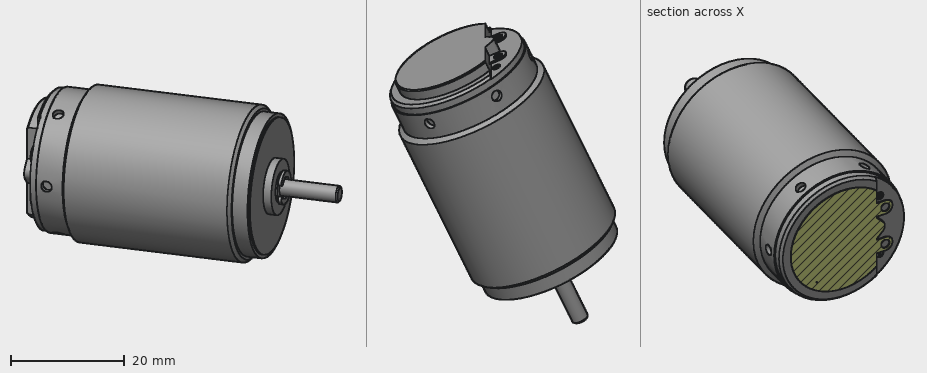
import cadquery as cq
import math

ring_face_x = 1.95
ring_chamfer_end_x = 2.45
ledge_x = 2.55
collar_start_x = 3.75
collar_end_x = 8.65
body_start_x = 9.25
body_chamfer_x = 39.5
body_end_x = 40.1
flange_end_x = 42.9
front_face_x = 43.2
boss_end_x = 44.7
neck_end_x = 45.0
clip_end_x = 45.7
shaft_end_x = 55.7

cap_radius = 10.65
ring_face_radius = 12.2
ring_radius = 12.7
collar_radius = 13.0
body_diameter = 28.0
body_radius = body_diameter / 2
body_end_radius = body_radius - (body_end_x - body_chamfer_x)
flange_radius = 12.85
front_face_radius = 12.2
boss_radius = 5.0
neck_radius = 2.75
shaft_radius = 1.5
cap_chamfer = 0.2
shaft_chamfer = 0.3

hole_count = 6
hole_x = 5.7
hole_diameter = 1.95
hole_depth = 1.0

step_y = -6.8
key_half_width = 2.3
key_tip_radius = 1.45

tab_start_x = 1.7
tab_thickness = 0.3
tab_z = 3.95
tab_width = 3.0
tab_hole_y = -8.5
tab_hole_diameter = 1.6

mark_y = -7.8
mark_z = 6.25
mark_diameter = 1.45
mark_bar_length = 1.1
mark_bar_width = 0.3
mark_depth = 0.15

clip_radius = 3.0
clip_width = 1.05
clip_opening = 2.1


def make_turned_body():
    """Revolve the stepped motor outline around the X axis."""
    outline = [
        (0, 0),
        (0, cap_radius - cap_chamfer),
        (cap_chamfer, cap_radius),
        (ring_face_x, cap_radius),
        (ring_face_x, ring_face_radius),
        (ring_chamfer_end_x, ring_radius),
        (collar_start_x, ring_radius),
        (collar_start_x, collar_radius),
        (collar_end_x, collar_radius),
        (body_start_x, body_radius),
        (body_chamfer_x, body_radius),
        (body_end_x, body_end_radius),
        (body_end_x, flange_radius),
        (flange_end_x, flange_radius),
        (flange_end_x, front_face_radius),
        (front_face_x, front_face_radius),
        (front_face_x, boss_radius),
        (boss_end_x, boss_radius),
        (boss_end_x, neck_radius),
        (neck_end_x, neck_radius),
        (neck_end_x, shaft_radius),
        (shaft_end_x - shaft_chamfer, shaft_radius),
        (shaft_end_x, shaft_radius - shaft_chamfer),
        (shaft_end_x, 0),
    ]
    return cq.Workplane("XY").polyline(outline).close().revolve(360, (0, 0, 0), (1, 0, 0))


def make_step_cut():
    """Block that clears the rear end beyond the flat, down to the ledge."""
    block = cq.Workplane("XY").box(ledge_x, body_radius, 2 * body_radius, centered=(False, False, True))
    return block.translate((0, step_y - body_radius, 0))


def make_key():
    """Wedge with 45 degree flanks and a rounded tip, standing out of the flat."""
    tip_center_y = step_y - key_half_width + key_tip_radius * math.sqrt(2)
    tangent_offset = key_tip_radius / math.sqrt(2)
    tangent_y = tip_center_y - tangent_offset
    return (
        cq.Workplane("YZ")
        .moveTo(step_y + key_half_width, -key_half_width)
        .lineTo(step_y, -key_half_width)
        .lineTo(tangent_y, -tangent_offset)
        .threePointArc((tip_center_y - key_tip_radius, 0), (tangent_y, tangent_offset))
        .lineTo(step_y, key_half_width)
        .lineTo(step_y + key_half_width, key_half_width)
        .close()
        .extrude(ledge_x)
    )


def make_tab(z):
    """Round-ended terminal plate with a hole, rooted in the flat wall."""
    root_y = step_y + tab_thickness
    plane = cq.Workplane("YZ", origin=(tab_start_x, 0, z))
    plate = (
        plane.moveTo(root_y, -tab_width / 2)
        .lineTo(tab_hole_y, -tab_width / 2)
        .threePointArc((tab_hole_y - tab_width / 2, 0), (tab_hole_y, tab_width / 2))
        .lineTo(root_y, tab_width / 2)
        .close()
        .extrude(tab_thickness)
    )
    hole = plane.center(tab_hole_y, 0).circle(tab_hole_diameter / 2).extrude(tab_thickness)
    return plate.cut(hole)


def make_mark(z, bar_angles):
    """Shallow round recess whose bars stay level with the ledge."""
    plane = cq.Workplane("YZ", origin=(ledge_x, mark_y, z))
    mark = plane.circle(mark_diameter / 2).extrude(mark_depth)
    for angle in bar_angles:
        turned_plane = plane.transformed(rotate=(0, 0, angle))
        bar = turned_plane.rect(mark_bar_length, mark_bar_width).extrude(mark_depth)
        mark = mark.cut(bar)
    return mark


def make_collar_holes():
    """Blind radial holes spread evenly around the collar."""
    hole = (
        cq.Workplane("XY", origin=(hole_x, 0, collar_radius - hole_depth))
        .circle(hole_diameter / 2)
        .extrude(2 * hole_depth)
    )
    holes = cq.Workplane("XY")
    for index in range(hole_count):
        angle = 90 + index * 360 / hole_count
        holes = holes.add(hole.rotate((0, 0, 0), (1, 0, 0), angle))
    return holes.combine()


def make_clip():
    """C-shaped ring with rounded ends, open toward -Y."""
    thickness = clip_end_x - neck_end_x
    middle_radius = clip_radius - clip_width / 2
    end_z = (clip_opening + clip_width) / 2
    end_y = -math.sqrt(middle_radius**2 - end_z**2)
    mouth_y = 2 * end_y
    mouth_z = 2 * end_z
    plane = cq.Workplane("YZ", origin=(neck_end_x, 0, 0))
    ring = plane.circle(clip_radius).circle(clip_radius - clip_width).extrude(thickness)
    mouth = (
        plane.polyline([(0, 0), (mouth_y, mouth_z), (mouth_y, -mouth_z)])
        .close()
        .extrude(thickness)
    )
    ends = plane.pushPoints([(end_y, end_z), (end_y, -end_z)]).circle(clip_width / 2).extrude(thickness)
    return ring.cut(mouth).union(ends)


result = make_turned_body().cut(make_step_cut()).union(make_key())
for side in (1, -1):
    result = result.union(make_tab(side * tab_z))
result = result.cut(make_mark(mark_z, (0, 90)))
result = result.cut(make_mark(-mark_z, (90,)))
result = result.cut(make_collar_holes()).union(make_clip())